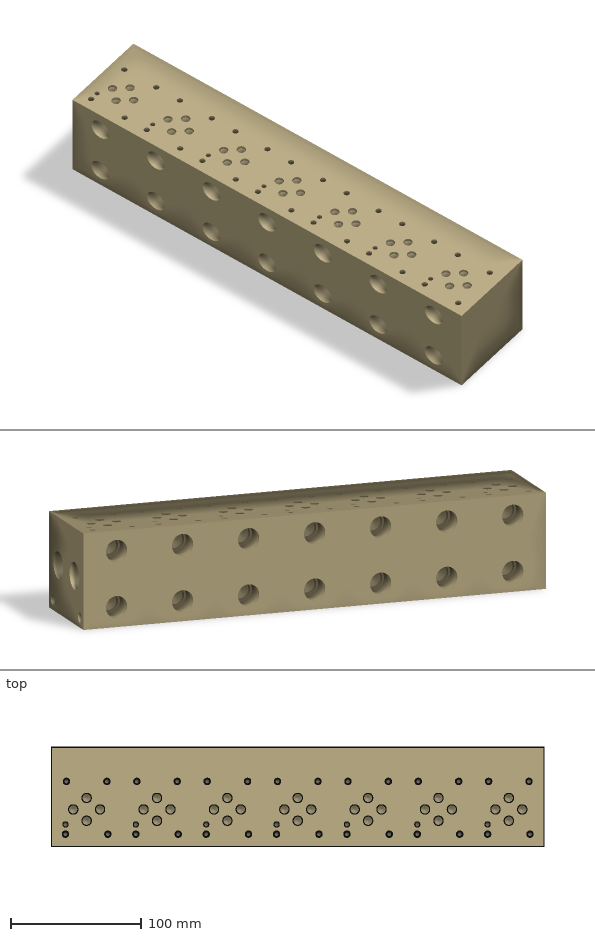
import cadquery as cq
import math

INCH = 25.4

STATIONS = 7
STATION_PITCH = 2.125 * INCH
LENGTH = STATIONS * STATION_PITCH
WIDTH = 3 * INCH
HEIGHT = 3 * INCH

DRILL_POINT_ANGLE = 120

WORK_THREAD_DIA = 17.3
WORK_DRILL_DIA = 14.3
WORK_THREAD_DEPTH = 16
WORK_DRILL_DEPTH = 20
WORK_PORT_A_Z = 0.625 * INCH
WORK_PORT_B_Z = 2.375 * INCH

MAIN_THREAD_DIA = 21.59
MAIN_DRILL_DIA = 17.48
MAIN_THREAD_DEPTH = 20
MAIN_DRILL_DEPTH = 25
MAIN_PORT_Z = HEIGHT / 2
PRESSURE_PORT_Y = 20.2
TANK_PORT_Y = 56.0

MOUNT_THREAD_DIA = 7.92
MOUNT_DRILL_DIA = 6.53
MOUNT_THREAD_DEPTH = 12
MOUNT_DRILL_DEPTH = 15
MOUNT_EDGE_OFFSET = 0.3125 * INCH

VALVE_BOLT_REAR_Y = 50.01
VALVE_BOLT_ROW_GAP = 40.5
VALVE_BOLT_FRONT_Y = VALVE_BOLT_REAR_Y - VALVE_BOLT_ROW_GAP
VALVE_BOLT_REAR_X = 15.5
VALVE_BOLT_FRONT_X = 16.25
VALVE_BOLT_THREAD_DIA = 4.83
VALVE_BOLT_DRILL_DIA = 3.79
VALVE_BOLT_THREAD_DEPTH = 10
VALVE_BOLT_DRILL_DEPTH = 13
LOCATOR_DIA = 3.96
LOCATOR_DEPTH = 5
LOCATOR_SETBACK = 33.0
LOCATOR_Y = VALVE_BOLT_REAR_Y - LOCATOR_SETBACK
VALVE_PORT_DIA = 7.14
VALVE_PORT_DEPTH = 2.1
VALVE_PORT_MID_SETBACK = 21.5
VALVE_PORT_MID_Y = VALVE_BOLT_REAR_Y - VALVE_PORT_MID_SETBACK
VALVE_PORT_SIDE_X = 10.3
VALVE_PORT_REAR_SETBACK = 12.7
VALVE_PORT_REAR_Y = VALVE_BOLT_REAR_Y - VALVE_PORT_REAR_SETBACK
VALVE_PORT_FRONT_SETBACK = 30.2
VALVE_PORT_FRONT_Y = VALVE_BOLT_REAR_Y - VALVE_PORT_FRONT_SETBACK

INTO_LEFT_END = cq.Vector(1, 0, 0)
INTO_FRONT = cq.Vector(0, 1, 0)
INTO_TOP = cq.Vector(0, 0, -1)


def drilled_hole(mouth, direction, diameter, depth):
    """Blind hole of full diameter to the given depth, ending in a drill point."""
    radius = diameter / 2
    point_length = radius / math.tan(math.radians(DRILL_POINT_ANGLE / 2))
    bore = cq.Solid.makeCylinder(radius, depth, mouth, direction)
    point = cq.Solid.makeCone(radius, 0, point_length, mouth + direction * depth, direction)
    return bore.fuse(point)


def tapped_hole(mouth, direction, thread_dia, thread_depth, drill_dia, drill_depth):
    """Drilled hole opened out to the thread diameter over the thread depth."""
    thread = cq.Solid.makeCylinder(thread_dia / 2, thread_depth, mouth, direction)
    return drilled_hole(mouth, direction, drill_dia, drill_depth).fuse(thread)


def left_end_holes():
    """Supply and return ports and the two mounting holes."""
    holes = []
    for y in (PRESSURE_PORT_Y, TANK_PORT_Y):
        mouth = cq.Vector(0, y, MAIN_PORT_Z)
        holes.append(tapped_hole(mouth, INTO_LEFT_END, MAIN_THREAD_DIA, MAIN_THREAD_DEPTH,
                                 MAIN_DRILL_DIA, MAIN_DRILL_DEPTH))
    for y in (MOUNT_EDGE_OFFSET, WIDTH - MOUNT_EDGE_OFFSET):
        mouth = cq.Vector(0, y, MOUNT_EDGE_OFFSET)
        holes.append(tapped_hole(mouth, INTO_LEFT_END, MOUNT_THREAD_DIA, MOUNT_THREAD_DEPTH,
                                 MOUNT_DRILL_DIA, MOUNT_DRILL_DEPTH))
    return holes


def work_ports(station_x):
    """Lower and upper work ports of one station."""
    holes = []
    for z in (WORK_PORT_A_Z, WORK_PORT_B_Z):
        mouth = cq.Vector(station_x, 0, z)
        holes.append(tapped_hole(mouth, INTO_FRONT, WORK_THREAD_DIA, WORK_THREAD_DEPTH,
                                 WORK_DRILL_DIA, WORK_DRILL_DEPTH))
    return holes


def valve_bolt_holes(station_x):
    """Four tapped holes that hold the valve; the front row is slightly wider."""
    holes = []
    rows = (
        (VALVE_BOLT_REAR_X, VALVE_BOLT_REAR_Y),
        (VALVE_BOLT_FRONT_X, VALVE_BOLT_FRONT_Y),
    )
    for offset_x, y in rows:
        for side in (-1, 1):
            mouth = cq.Vector(station_x + side * offset_x, y, HEIGHT)
            holes.append(tapped_hole(mouth, INTO_TOP, VALVE_BOLT_THREAD_DIA, VALVE_BOLT_THREAD_DEPTH,
                                     VALVE_BOLT_DRILL_DIA, VALVE_BOLT_DRILL_DEPTH))
    return holes


def valve_ports(station_x):
    """Diamond of four shallow oil ports under the valve."""
    places = (
        (station_x - VALVE_PORT_SIDE_X, VALVE_PORT_MID_Y),
        (station_x + VALVE_PORT_SIDE_X, VALVE_PORT_MID_Y),
        (station_x, VALVE_PORT_REAR_Y),
        (station_x, VALVE_PORT_FRONT_Y),
    )
    return [drilled_hole(cq.Vector(x, y, HEIGHT), INTO_TOP, VALVE_PORT_DIA, VALVE_PORT_DEPTH)
            for x, y in places]


def locator_hole(station_x):
    """Locating pin hole behind the left front bolt."""
    mouth = cq.Vector(station_x - VALVE_BOLT_FRONT_X, LOCATOR_Y, HEIGHT)
    return drilled_hole(mouth, INTO_TOP, LOCATOR_DIA, LOCATOR_DEPTH)


cutters = left_end_holes()
for station in range(STATIONS):
    centre_x = (station + 0.5) * STATION_PITCH
    cutters += work_ports(centre_x)
    cutters += valve_bolt_holes(centre_x)
    cutters += valve_ports(centre_x)
    cutters.append(locator_hole(centre_x))

block = cq.Solid.makeBox(LENGTH, WIDTH, HEIGHT)
result = cq.Workplane(block.cut(*cutters))